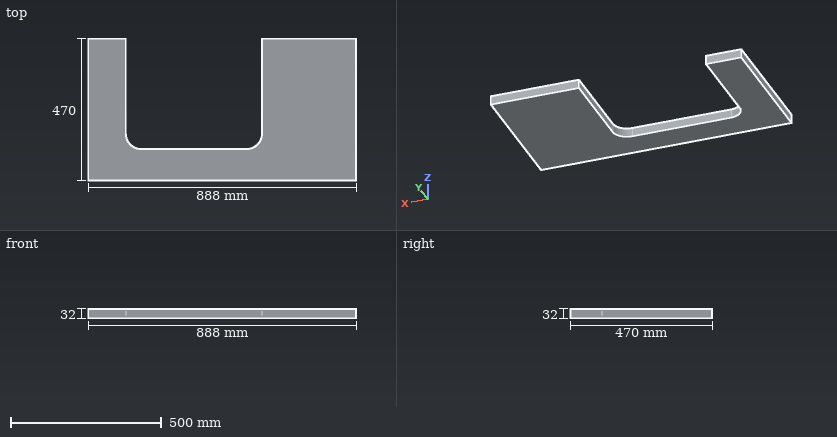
import cadquery as cq

length = 888.0
width = 470.0
thickness = 32.0

left_arm_width = 125.0
notch_width = 450.0
front_strip_width = 105.0
notch_corner_radius = 50.0

notch_depth = width - front_strip_width


def make_plate():
    """Rectangular plate with its lower front-left corner at the origin."""
    return cq.Workplane("XY").box(length, width, thickness, centered=False)


def make_notch():
    """Cutter for the notch, rounded only at its two closed corners."""
    return (
        cq.Workplane("XY")
        .box(notch_width, notch_depth, thickness, centered=False)
        .edges("|Z and <Y")
        .fillet(notch_corner_radius)
        .translate((left_arm_width, front_strip_width, 0))
    )


result = make_plate().cut(make_notch())